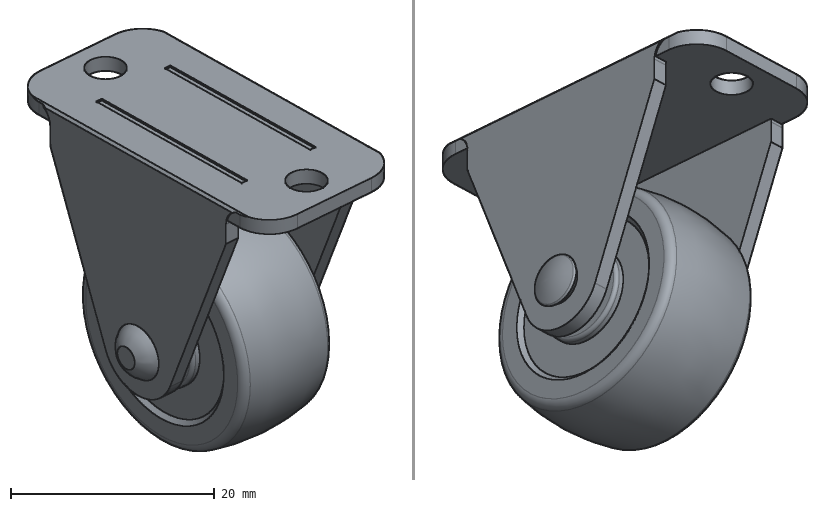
import cadquery as cq
import math


PLATE_LENGTH = 37.0
PLATE_WIDTH = 18.0
PLATE_CORNER_RADIUS = 4.0
PLATE_TOP = 22.5
SHEET = 1.65
MOUNT_HOLE_DIAMETER = 4.2
MOUNT_HOLE_SPACING = 29.0
GROOVE_LENGTH = 21.0
GROOVE_WIDTH = 0.75
GROOVE_DEPTH = 0.2
GROOVE_SPACING = 9.2

LEG_GAP = 15.0
LEG_OUTER = LEG_GAP / 2 + SHEET
LEG_HALF_WIDTH = 12.7
LEG_TAPER_START = PLATE_TOP - 4.3
LEG_TIP_RADIUS = 5.0
LEG_ROOT_RADIUS = 2.0
BEND_CHAMFER = 0.3

WHEEL_RADIUS = 12.5
WHEEL_WIDTH = 12.0
CROWN_RADIUS = 25.0
TREAD_EDGE_RADIUS = 1.0
RECESS_OUTER_RADIUS = 9.0
RECESS_FLOOR_RADIUS = 8.5
RECESS_DEPTH = 0.5
HUB_RADIUS = 5.0
HUB_WIDTH = 13.0
HUB_EDGE_RADIUS = 0.4

AXLE_RADIUS = 2.25
HEAD_RADIUS = 3.0
HEAD_TIP_RADIUS = 1.25
HEAD_HEIGHT = 1.6
HEAD_BULGE = 0.22
RIVET_HEIGHT = 1.51
RIVET_FLARE_HEIGHT = 0.6
RIVET_FLARE_RADIUS = 2.65
RIVET_RIM_HEIGHT = 0.8
RIVET_RIM_RADIUS = 2.75
RIVET_DOME_BASE_HEIGHT = 1.0
RIVET_DOME_BASE_RADIUS = 2.6


def make_plate():
    plate = (
        cq.Workplane("XY", origin=(0, 0, PLATE_TOP - SHEET))
        .rect(PLATE_LENGTH, PLATE_WIDTH)
        .extrude(SHEET)
        .edges("|Z")
        .fillet(PLATE_CORNER_RADIUS)
    )
    holes = (
        cq.Workplane("XY", origin=(0, 0, PLATE_TOP))
        .rarray(MOUNT_HOLE_SPACING, 1, 2, 1)
        .circle(MOUNT_HOLE_DIAMETER / 2)
        .extrude(-SHEET)
    )
    grooves = (
        cq.Workplane("XY", origin=(0, 0, PLATE_TOP))
        .rarray(1, GROOVE_SPACING, 1, 2)
        .rect(GROOVE_LENGTH, GROOVE_WIDTH)
        .extrude(-GROOVE_DEPTH)
    )
    return plate.cut(holes).cut(grooves)


def make_leg(side):
    """Tapered leg with a round tip about the axle; side is -1 or 1 along Y."""
    corner_distance = math.hypot(LEG_HALF_WIDTH, LEG_TAPER_START)
    corner_angle = math.atan2(LEG_TAPER_START, LEG_HALF_WIDTH)
    tangent_angle = corner_angle - math.acos(LEG_TIP_RADIUS / corner_distance)
    tangent_x = LEG_TIP_RADIUS * math.cos(tangent_angle)
    tangent_z = LEG_TIP_RADIUS * math.sin(tangent_angle)

    flare_x = LEG_HALF_WIDTH + LEG_ROOT_RADIUS
    root_z = PLATE_TOP - LEG_ROOT_RADIUS
    return (
        cq.Workplane("XZ", origin=(0, LEG_OUTER if side > 0 else -LEG_GAP / 2, 0))
        .moveTo(-flare_x, PLATE_TOP)
        .lineTo(flare_x, PLATE_TOP)
        .radiusArc((LEG_HALF_WIDTH, root_z), -LEG_ROOT_RADIUS)
        .lineTo(LEG_HALF_WIDTH, LEG_TAPER_START)
        .lineTo(tangent_x, tangent_z)
        .threePointArc((0, -LEG_TIP_RADIUS), (-tangent_x, tangent_z))
        .lineTo(-LEG_HALF_WIDTH, LEG_TAPER_START)
        .lineTo(-LEG_HALF_WIDTH, root_z)
        .radiusArc((-flare_x, PLATE_TOP), -LEG_ROOT_RADIUS)
        .close()
        .extrude(SHEET)
    )


def make_bend_cut(side):
    """Triangular bar that bevels the bend between the plate and one leg."""
    return (
        cq.Workplane("YZ", origin=(-PLATE_LENGTH / 2, 0, 0))
        .moveTo(side * LEG_OUTER, PLATE_TOP)
        .lineTo(side * (LEG_OUTER - BEND_CHAMFER), PLATE_TOP)
        .lineTo(side * LEG_OUTER, PLATE_TOP - BEND_CHAMFER)
        .close()
        .extrude(PLATE_LENGTH)
    )


def make_bracket():
    bracket = make_plate()
    for side in (-1, 1):
        bracket = bracket.union(make_leg(side)).cut(make_bend_cut(side))
    axle_hole = cq.Workplane("XZ").circle(AXLE_RADIUS).extrude(LEG_OUTER, both=True)
    return bracket.cut(axle_hole).solids()


def make_wheel():
    half_width = WHEEL_WIDTH / 2
    half_hub = HUB_WIDTH / 2
    floor_y = half_width - RECESS_DEPTH
    crown_center = WHEEL_RADIUS - CROWN_RADIUS

    edge_y = half_width - TREAD_EDGE_RADIUS
    inner_crown_radius = CROWN_RADIUS - TREAD_EDGE_RADIUS
    edge_radius = crown_center + math.sqrt(inner_crown_radius**2 - edge_y**2)
    crown_end_y = edge_y * CROWN_RADIUS / inner_crown_radius
    crown_end_radius = crown_center + math.sqrt(CROWN_RADIUS**2 - crown_end_y**2)

    return (
        cq.Workplane("XY")
        .moveTo(AXLE_RADIUS, -half_hub)
        .lineTo(HUB_RADIUS - HUB_EDGE_RADIUS, -half_hub)
        .radiusArc((HUB_RADIUS, -half_hub + HUB_EDGE_RADIUS), -HUB_EDGE_RADIUS)
        .lineTo(HUB_RADIUS, -floor_y)
        .lineTo(RECESS_FLOOR_RADIUS, -floor_y)
        .lineTo(RECESS_OUTER_RADIUS, -half_width)
        .lineTo(edge_radius, -half_width)
        .radiusArc((crown_end_radius, -crown_end_y), -TREAD_EDGE_RADIUS)
        .threePointArc((WHEEL_RADIUS, 0), (crown_end_radius, crown_end_y))
        .radiusArc((edge_radius, half_width), -TREAD_EDGE_RADIUS)
        .lineTo(RECESS_OUTER_RADIUS, half_width)
        .lineTo(RECESS_FLOOR_RADIUS, floor_y)
        .lineTo(HUB_RADIUS, floor_y)
        .lineTo(HUB_RADIUS, half_hub - HUB_EDGE_RADIUS)
        .radiusArc((HUB_RADIUS - HUB_EDGE_RADIUS, half_hub), -HUB_EDGE_RADIUS)
        .lineTo(AXLE_RADIUS, half_hub)
        .close()
        .revolve(360, (0, 0, 0), (0, 1, 0))
    )


def make_axle():
    head_tip_y = -LEG_OUTER - HEAD_HEIGHT
    rivet_tip_y = LEG_OUTER + RIVET_HEIGHT
    dome_base_y = LEG_OUTER + RIVET_DOME_BASE_HEIGHT
    dome_rise = rivet_tip_y - dome_base_y
    dome_radius = (RIVET_DOME_BASE_RADIUS**2 + dome_rise**2) / (2 * dome_rise)
    return (
        cq.Workplane("XY")
        .moveTo(0, head_tip_y)
        .lineTo(HEAD_TIP_RADIUS, head_tip_y)
        .sagittaArc((HEAD_RADIUS, -LEG_OUTER), -HEAD_BULGE)
        .lineTo(AXLE_RADIUS, -LEG_OUTER)
        .lineTo(AXLE_RADIUS, LEG_OUTER)
        .lineTo(RIVET_FLARE_RADIUS, LEG_OUTER + RIVET_FLARE_HEIGHT)
        .threePointArc(
            (RIVET_RIM_RADIUS, LEG_OUTER + RIVET_RIM_HEIGHT),
            (RIVET_DOME_BASE_RADIUS, dome_base_y),
        )
        .radiusArc((0, rivet_tip_y), -dome_radius)
        .close()
        .revolve(360, (0, 0, 0), (0, 1, 0))
    )


bracket = make_bracket()
wheel = make_wheel()
axle = make_axle()

result = cq.Compound.makeCompound([bracket.val(), wheel.val(), axle.val()])